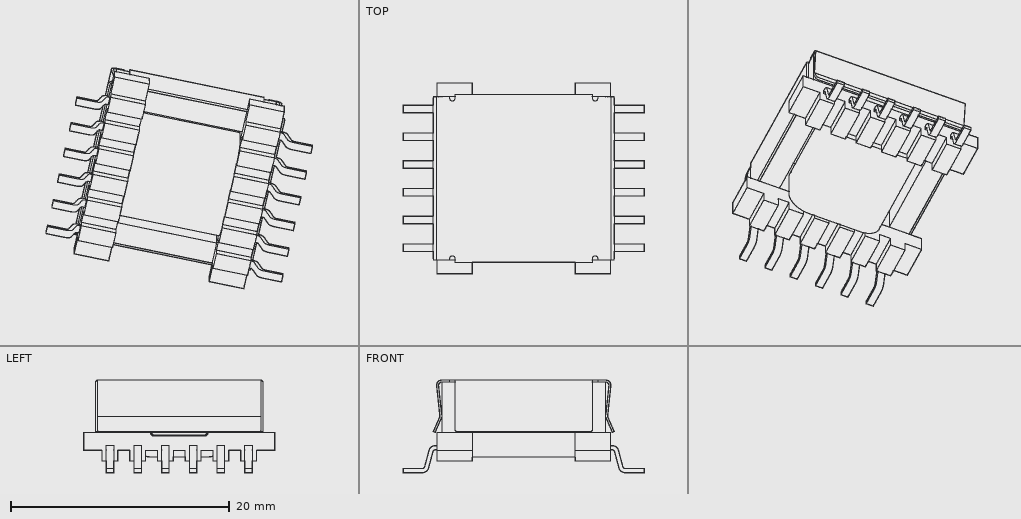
import cadquery as cq
import math


OVERALL_LENGTH = 22.1
OVERALL_WIDTH = 17.5
OVERALL_HEIGHT = 8.5

RAIL_OUTER_X = 7.95
RAIL_INNER_X = 4.7
RAIL_BOTTOM_Z = 2.05
RAIL_TOP_Z = 3.71
FOOT_BOTTOM_Z = 1.05
FOOT_WIDTH = 1.45
TUBE_WALL = 0.45
LEG_CLEARANCE = 0.07

PINS_PER_ROW = 6
PIN_PITCH = 2.55
PIN_WIDTH = 0.7
PIN_THICKNESS = 0.4
PIN_TOP_Z = 2.5
PIN_BEND_RADIUS = 0.22
PIN_LEAN = 15.0
PIN_TOE_LENGTH = 1.75

SHEET = 0.2
TAB_BEND_RADIUS = 0.27
TAB_WIDTH = 12.6
TAB_BOTTOM_Z = 3.78
TAB_CORNER_RADIUS = 0.18
RELIEF_WIDTH = 0.49
RELIEF_DEPTH = 0.4
SPRING_BEND_RADIUS = 0.49
SPRING_LEAN = 6.0
SPRING_FLARE = 23.5
SPRING_KINK_Z = 5.13
SPRING_END_Z = 3.78
SPRING_CORNER_RADIUS = 0.18

CORE_SIZE = 14.98
CORE_HALF = CORE_SIZE / 2
CORE_TOP_Z = OVERALL_HEIGHT - SHEET
WINDOW_WIDTH = 11.0
LEG_WIDTH = 5.13
LEG_THICKNESS = 2.4
LEG_BOTTOM_Z = 3.45
LEG_CHAMFER = 0.18
LEG_MID_Z = LEG_BOTTOM_Z + LEG_THICKNESS / 2

WINDING_LENGTH = 2 * RAIL_INNER_X
WINDING_REACH = 2.01


def centred_box(length, width, bottom_z, top_z):
    """Box centred on the Z axis between two heights."""
    return cq.Workplane("XY", origin=(0, 0, bottom_z)).box(
        length, width, top_z - bottom_z, centered=(True, True, False))


def leg_bar(length, growth):
    """Bar along X with the section of the core leg, grown by the same amount on every side."""
    bar = cq.Workplane("XY").box(length, LEG_WIDTH + 2 * growth, LEG_THICKNESS + 2 * growth)
    return bar.edges("|X").chamfer(LEG_CHAMFER).translate((0, 0, LEG_MID_Z))


def both_ends(shape):
    """The shape joined with its copy turned half a turn about Z."""
    return shape.union(shape.rotate((0, 0, 0), (0, 0, 1), 180))



def make_pin(y):
    """Gull-wing pin on the +X side: out of the rail, down a leaning leg, and out along the board."""
    lean = math.radians(PIN_LEAN)
    normal_x = math.cos(lean)
    normal_z = math.sin(lean)
    half_turn_x = math.cos((math.pi / 2 + lean) / 2)
    half_turn_z = math.sin((math.pi / 2 + lean) / 2)
    inner = PIN_BEND_RADIUS
    outer = PIN_BEND_RADIUS + PIN_THICKNESS

    end_x = OVERALL_LENGTH / 2
    low_x = end_x - PIN_TOE_LENGTH
    low_z = outer
    high_z = PIN_TOP_Z - outer
    leg_rise = (high_z + outer * normal_z) - (low_z - inner * normal_z)
    high_x = low_x - (inner + outer) * normal_x - leg_rise * math.tan(lean)

    def on_high_bend(radius, part_x, part_z):
        return (high_x + radius * part_x, high_z + radius * part_z)

    def on_low_bend(radius, part_x, part_z):
        return (low_x - radius * part_x, low_z - radius * part_z)

    outline = (
        cq.Workplane("XZ", origin=(0, y + PIN_WIDTH / 2, 0))
        .moveTo(RAIL_INNER_X, PIN_TOP_Z)
        .lineTo(high_x, PIN_TOP_Z)
        .threePointArc(on_high_bend(outer, half_turn_x, half_turn_z), on_high_bend(outer, normal_x, normal_z))
        .lineTo(*on_low_bend(inner, normal_x, normal_z))
        .threePointArc(on_low_bend(inner, half_turn_x, half_turn_z), on_low_bend(inner, 0, 1))
        .lineTo(end_x, PIN_THICKNESS)
        .lineTo(end_x, 0)
        .lineTo(low_x, 0)
        .threePointArc(on_low_bend(outer, half_turn_x, half_turn_z), on_low_bend(outer, normal_x, normal_z))
        .lineTo(*on_high_bend(inner, normal_x, normal_z))
        .threePointArc(on_high_bend(inner, half_turn_x, half_turn_z), on_high_bend(inner, 0, 1))
        .lineTo(RAIL_INNER_X, PIN_TOP_Z - PIN_THICKNESS)
        .close()
    )
    return outline.extrude(PIN_WIDTH)


def make_rail():
    """Rail on the +X side with a foot and a pin at every pin place."""
    rail_depth = RAIL_OUTER_X - RAIL_INNER_X
    rail_x = (RAIL_OUTER_X + RAIL_INNER_X) / 2
    rail = centred_box(rail_depth, OVERALL_WIDTH, RAIL_BOTTOM_Z, RAIL_TOP_Z).translate((rail_x, 0, 0))
    foot = centred_box(rail_depth, FOOT_WIDTH, FOOT_BOTTOM_Z, RAIL_BOTTOM_Z)
    for index in range(PINS_PER_ROW):
        y = (index - (PINS_PER_ROW - 1) / 2) * PIN_PITCH
        rail = rail.union(foot.translate((rail_x, y, 0)))
        rail = rail.union(make_pin(y))
    return rail


def make_bobbin():
    """Two rails joined by the tube that carries the winding, with one passage for the core leg."""
    tube = leg_bar(WINDING_LENGTH, LEG_CLEARANCE + TUBE_WALL)
    passage = leg_bar(OVERALL_LENGTH, LEG_CLEARANCE)
    return both_ends(make_rail()).union(tube).cut(passage)



def make_winding():
    """Round-cornered coil that fits around the bobbin tube."""
    coil = cq.Workplane("XY").box(
        WINDING_LENGTH, LEG_WIDTH + 2 * WINDING_REACH, LEG_THICKNESS + 2 * WINDING_REACH)
    coil = coil.edges("|X").fillet(WINDING_REACH).translate((0, 0, LEG_MID_Z))
    return coil.cut(leg_bar(WINDING_LENGTH, LEG_CLEARANCE + TUBE_WALL))



def make_core():
    """Square frame bridged by the flat leg, which hangs slightly below the frame."""
    block = centred_box(CORE_SIZE, CORE_SIZE, RAIL_TOP_Z, CORE_TOP_Z)
    window = centred_box(WINDING_LENGTH, WINDOW_WIDTH, RAIL_TOP_Z, CORE_TOP_Z)
    return block.cut(window).union(leg_bar(CORE_SIZE, 0))



def make_spring_side():
    """+X half of the clip: half the top plate and a leg that leans in to the core, then flares out."""
    lean = math.radians(SPRING_LEAN)
    flare = math.radians(SPRING_FLARE)
    lean_normal = (math.cos(lean), -math.sin(lean))
    flare_normal = (math.cos(flare), math.sin(flare))
    half_turn = (math.pi / 2 - lean) / 2
    inner_bend = SPRING_BEND_RADIUS - SHEET

    mitre = SHEET / (1 + math.cos(lean + flare))
    kink_inner = (CORE_HALF, SPRING_KINK_Z)
    kink_outer = (
        kink_inner[0] + mitre * (lean_normal[0] + flare_normal[0]),
        kink_inner[1] + mitre * (lean_normal[1] + flare_normal[1]),
    )
    end_outer = (kink_outer[0] + (kink_outer[1] - SPRING_END_Z) * math.tan(flare), SPRING_END_Z)
    end_inner = (end_outer[0] - SHEET * flare_normal[0], end_outer[1] - SHEET * flare_normal[1])

    bend_z = OVERALL_HEIGHT - SPRING_BEND_RADIUS
    bend_end_z = bend_z + SPRING_BEND_RADIUS * lean_normal[1]
    bend_end_x = kink_outer[0] + (bend_end_z - kink_outer[1]) * math.tan(lean)
    bend_x = bend_end_x - SPRING_BEND_RADIUS * lean_normal[0]

    def on_bend(radius, angle):
        return (bend_x + radius * math.cos(angle), bend_z + radius * math.sin(angle))

    side = (
        cq.Workplane("XZ", origin=(0, CORE_HALF, 0))
        .moveTo(0, OVERALL_HEIGHT)
        .lineTo(bend_x, OVERALL_HEIGHT)
        .threePointArc(on_bend(SPRING_BEND_RADIUS, half_turn), on_bend(SPRING_BEND_RADIUS, -lean))
        .lineTo(*kink_outer)
        .lineTo(*end_outer)
        .lineTo(*end_inner)
        .lineTo(*kink_inner)
        .lineTo(*on_bend(inner_bend, -lean))
        .threePointArc(on_bend(inner_bend, half_turn), (bend_x, CORE_TOP_Z))
        .lineTo(0, CORE_TOP_Z)
        .close()
        .extrude(CORE_SIZE)
    )
    end_corners = cq.selectors.BoxSelector(
        (end_inner[0] - SHEET, -CORE_SIZE, 0), (end_outer[0] + SHEET, CORE_SIZE, SPRING_END_Z))
    return side.edges(end_corners).edges("not |Y").fillet(SPRING_CORNER_RADIUS)


def make_tab():
    """Flat tab against the -Y face of the core, with rounded lower corners."""
    tab = centred_box(TAB_WIDTH, SHEET, TAB_BOTTOM_Z, OVERALL_HEIGHT)
    return tab.edges("|Y and <Z").fillet(TAB_CORNER_RADIUS).translate((0, -CORE_HALF - SHEET / 2, 0))


def make_relief(x):
    """Round-ended bend relief cut into the -Y edge of the top plate."""
    slot_length = 2 * RELIEF_DEPTH
    slot = cq.Workplane("XY", origin=(x, -CORE_HALF, CORE_TOP_Z)).slot2D(slot_length, RELIEF_WIDTH, 90)
    return slot.extrude(SHEET)


def make_clip():
    """Top plate with two spring legs and two tabs; a bend relief stands beside each tab corner."""
    relief_x = (TAB_WIDTH + RELIEF_WIDTH) / 2
    clip = both_ends(make_spring_side())
    for x in (-relief_x, relief_x):
        clip = clip.cut(both_ends(make_relief(x)))
    clip = clip.union(both_ends(make_tab()))
    return clip.faces(">Z").edges("<Y or >Y").fillet(TAB_BEND_RADIUS)


bobbin = make_bobbin()
winding = make_winding()
core = make_core()
clip = make_clip()

bodies = [bobbin, winding, core, clip]
result = cq.Compound.makeCompound([body.solids().val() for body in bodies])